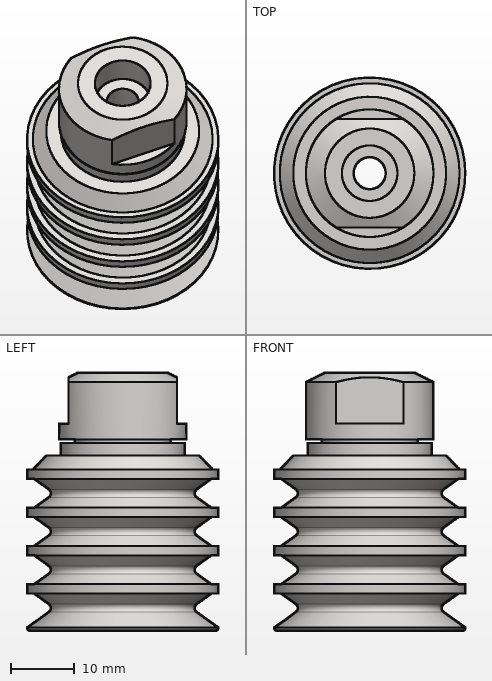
import cadquery as cq

total_height = 40.5
outer_radius = 30.0 / 2

head_radius = 20.0 / 2
head_top_radius = 7.0
head_chamfer_height = 1.5
head_height = 10.5
across_flats = 17.0
flat_height = 8.0
neck_radius = 15.1 / 2
neck_height = 0.53
collar_radius = 19.5 / 2
collar_height = 2.0

rim_count = 4
rim_thickness = 1.5
groove_height = 4.5
shoulder_top_radius = 12.0
shoulder_base_radius = 14.1
shoulder_height = 2.2
groove_edge_radius = 13.9
throat_edge_radius = 11.62
throat_radius = 11.3
throat_height = 1.25

lip_base_radius = 14.5
lip_bend_radius = 14.85
lip_bend_height = 0.15
lip_height = 0.53

bore_diameter = 8.7
bore_depth = 5.02
hole_diameter = 5.0

head_bottom = total_height - head_height
collar_top = head_bottom - neck_height
bellows_top = collar_top - collar_height
first_rim_top = bellows_top - shoulder_height
pitch = rim_thickness + groove_height
groove_wall_height = (groove_height - throat_height) / 2


def add_rim_and_throat(profile, rim_top):
    """Continue the profile down the rim edge, inward and round the groove's throat."""
    rim_bottom = rim_top - rim_thickness
    throat_top = rim_bottom - groove_wall_height
    return (
        profile.lineTo(outer_radius, rim_top)
        .lineTo(outer_radius, rim_bottom)
        .lineTo(groove_edge_radius, rim_bottom)
        .lineTo(throat_edge_radius, throat_top)
        .threePointArc(
            (throat_radius, throat_top - throat_height / 2),
            (throat_edge_radius, throat_top - throat_height),
        )
    )


def make_body():
    """Revolve the fitting and bellows as one solid of revolution about Z."""
    profile = (
        cq.Workplane("XZ")
        .moveTo(0, total_height)
        .lineTo(head_top_radius, total_height)
        .lineTo(head_radius, total_height - head_chamfer_height)
        .lineTo(head_radius, head_bottom)
        .lineTo(neck_radius, head_bottom)
        .lineTo(neck_radius, collar_top)
        .lineTo(collar_radius, collar_top)
        .lineTo(collar_radius, bellows_top)
        .lineTo(shoulder_top_radius, bellows_top)
        .lineTo(shoulder_base_radius, first_rim_top)
    )
    for index in range(rim_count):
        rim_top = first_rim_top - index * pitch
        if index > 0:
            profile = profile.lineTo(groove_edge_radius, rim_top)
        profile = add_rim_and_throat(profile, rim_top)
    profile = (
        profile.lineTo(outer_radius, lip_height)
        .threePointArc((lip_bend_radius, lip_bend_height), (lip_base_radius, 0))
        .lineTo(0, 0)
        .close()
    )
    return profile.revolve(360, (0, 0, 0), (0, 1, 0))


def cut_wrench_flats(body):
    """Cut two parallel flats on the -Y and +Y sides of the head."""
    cut_depth = head_radius - across_flats / 2
    for side in (-1, 1):
        cutter = (
            cq.Workplane("XY")
            .workplane(offset=total_height - flat_height)
            .center(0, side * (across_flats + cut_depth) / 2)
            .rect(2 * head_radius, cut_depth)
            .extrude(flat_height)
        )
        body = body.cut(cutter)
    return body


def cut_passage(body):
    """Cut the stepped hole that runs through the part along Z."""
    return body.faces(">Z").workplane().cboreHole(hole_diameter, bore_diameter, bore_depth)


result = cut_passage(cut_wrench_flats(make_body()))